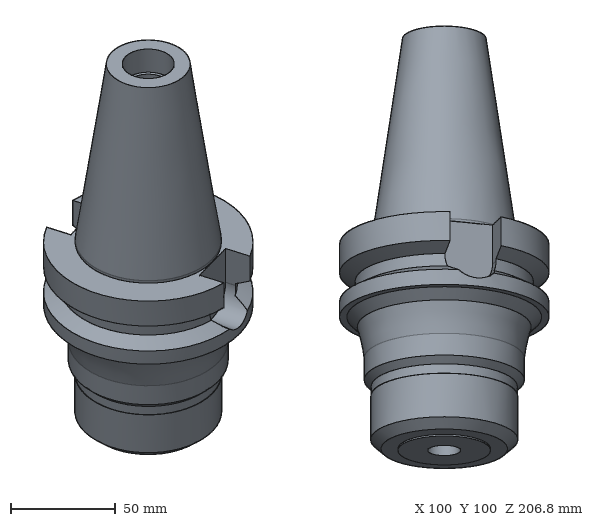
import cadquery as cq

total_height = 206.8
gauge_line = 105.0
flange_top = 103.6
groove_upper_rim = 89.1
groove_lower_rim = 74.7
groove_wall_height = 4.1
flange_bottom = 67.0
neck_top = 62.0
neck_bottom = 46.3
collar_bottom = 35.4
nose_top = 27.3
nose_edge = 5.4
nose_shoulder = 0.8

taper_tip_radius = 20.0
gauge_radius = 35.0
flange_radius = 50.0
groove_radius = 42.5
flange_cone_radius = 46.5
neck_top_radius = flange_cone_radius - (flange_bottom - neck_top)
neck_hollow = 0.5
collar_radius = 38.3
relief_radius = 35.0
nose_radius = 35.2
nose_shoulder_radius = 30.2
nose_ring_radius = 22.1
collar_chamfer = collar_radius - relief_radius

slot_half_width = 12.8
slot_floor_distance = 35.2
slot_bottom = 71.1

bore_radius = 7.9
entry_radius = 12.5
entry_depth = 13.5
thread_radius = 10.8
thread_depth = 41.4


def neck_midpoint():
    """Middle point of the shallow concave arc down the neck."""
    return (
        (neck_top_radius + collar_radius) / 2 - neck_hollow,
        (neck_top + neck_bottom) / 2,
    )


def turned_body():
    """Revolve the outside profile, drawn as (radius, height), about Z."""
    profile = (
        cq.Workplane("XZ")
        .moveTo(0, 0)
        .lineTo(nose_ring_radius, 0)
        .lineTo(nose_ring_radius, nose_shoulder)
        .lineTo(nose_shoulder_radius, nose_shoulder)
        .lineTo(nose_radius, nose_edge)
        .lineTo(nose_radius, nose_top)
        .lineTo(relief_radius, nose_top)
        .lineTo(relief_radius, collar_bottom - collar_chamfer)
        .lineTo(collar_radius, collar_bottom)
        .lineTo(collar_radius, neck_bottom)
        .threePointArc(neck_midpoint(), (neck_top_radius, neck_top))
        .lineTo(flange_cone_radius, flange_bottom)
        .lineTo(flange_radius, flange_bottom)
        .lineTo(flange_radius, groove_lower_rim)
        .lineTo(groove_radius, groove_lower_rim + groove_wall_height)
        .lineTo(groove_radius, groove_upper_rim - groove_wall_height)
        .lineTo(flange_radius, groove_upper_rim)
        .lineTo(flange_radius, flange_top)
        .lineTo(gauge_radius, flange_top)
        .lineTo(gauge_radius, gauge_line)
        .lineTo(taper_tip_radius, total_height)
        .lineTo(0, total_height)
        .close()
    )
    return profile.revolve(360, (0, 0, 0), (0, 1, 0))


def drive_slot(side):
    """Round-bottomed cutter on the +X (side = 1) or -X (side = -1) face."""
    arc_center = slot_bottom + slot_half_width
    return (
        cq.Workplane("YZ", origin=(side * slot_floor_distance, 0, 0))
        .moveTo(-slot_half_width, flange_top)
        .lineTo(-slot_half_width, arc_center)
        .threePointArc((0, slot_bottom), (slot_half_width, arc_center))
        .lineTo(slot_half_width, flange_top)
        .close()
        .extrude(side * flange_radius)
    )


def bore_from_top(radius, depth):
    """Axial cylinder reaching the given depth below the taper tip."""
    return cq.Workplane("XY", origin=(0, 0, total_height - depth)).circle(radius).extrude(depth)


result = turned_body()
for slot_side in (-1, 1):
    result = result.cut(drive_slot(slot_side))
for step_radius, step_depth in (
    (entry_radius, entry_depth),
    (thread_radius, thread_depth),
    (bore_radius, total_height),
):
    result = result.cut(bore_from_top(step_radius, step_depth))